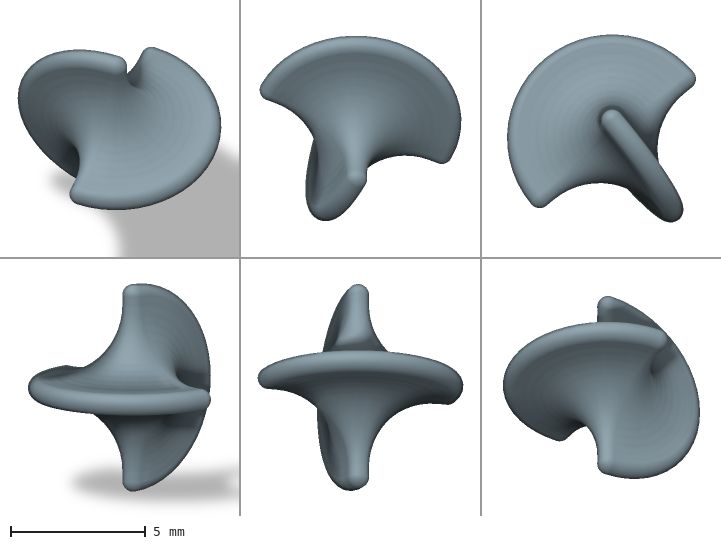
import cadquery as cq
import math

reach = 3.91
tip_radius = 0.41
tip_root = 3.45
arc_end = 3.13

tip_center = reach - tip_radius
neck_radius = math.sqrt(tip_radius**2 - (tip_center - tip_root) ** 2)
flank_radius = arc_end - neck_radius
diagonal = math.sqrt(0.5)
tip_offset = tip_radius * diagonal
flank_mid = arc_end - flank_radius * diagonal
start_angle = -90


def half_body():
    """Spin the profile half a turn about Z, filling the +X side."""
    profile = (
        cq.Workplane("XZ")
        .moveTo(0, -reach)
        .threePointArc((tip_offset, -tip_center - tip_offset), (neck_radius, -tip_root))
        .lineTo(neck_radius, -arc_end)
        .threePointArc((flank_mid, -flank_mid), (arc_end, -neck_radius))
        .lineTo(tip_root, -neck_radius)
        .threePointArc((reach, 0), (tip_root, neck_radius))
        .lineTo(arc_end, neck_radius)
        .threePointArc((flank_mid, flank_mid), (neck_radius, arc_end))
        .lineTo(neck_radius, tip_root)
        .threePointArc((tip_offset, tip_center + tip_offset), (0, reach))
        .close()
    )
    spun = profile.revolve(180, (0, 0, 0), (0, 1, 0))
    return spun.rotate((0, 0, 0), (0, 0, 1), start_angle)


right_half = half_body()
left_half = right_half.mirror("YZ").rotate((0, 0, 0), (1, 0, 0), 90)

result = right_half.union(left_half)